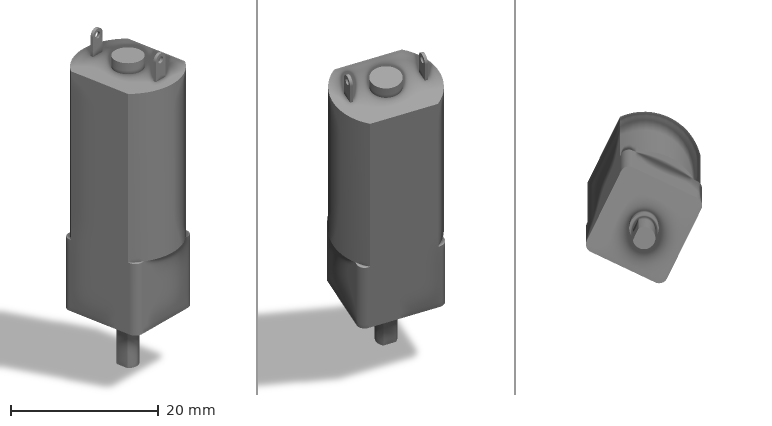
import cadquery as cq

overall_height = 49.6
shaft_length = 6.7
collar_height = 2.0
gearbox_height = 11.0
terminal_height = 3.95
boss_height = 1.7

gearbox_bottom = shaft_length + collar_height
motor_bottom = gearbox_bottom + gearbox_height
motor_top = overall_height - terminal_height
motor_height = motor_top - motor_bottom

motor_diameter = 15.7
body_depth = 12.05
gearbox_width = 13.0
gearbox_corner_radius = 1.2
boss_diameter = 4.5
collar_diameter = 4.0
shaft_diameter = 3.1
shaft_flat_offset = 1.25

terminal_spacing = 11.05
terminal_thickness = 0.45
terminal_width = 2.0
terminal_hole_diameter = 1.0
terminal_round_center = overall_height - terminal_width / 2


def cylinder(diameter, bottom, height):
    """Upright cylinder on the Z axis."""
    return cq.Workplane("XY").workplane(offset=bottom).circle(diameter / 2).extrude(height)


def make_terminal(x):
    """Thin upright lug with a full-round top and a wire hole."""
    half_width = terminal_width / 2
    return (
        cq.Workplane("YZ", origin=(x - terminal_thickness / 2, 0, 0))
        .moveTo(-half_width, motor_top)
        .lineTo(-half_width, terminal_round_center)
        .threePointArc((0, overall_height), (half_width, terminal_round_center))
        .lineTo(half_width, motor_top)
        .close()
        .moveTo(0, terminal_round_center)
        .circle(terminal_hole_diameter / 2)
        .extrude(terminal_thickness)
    )


def make_motor():
    """Round can with two flats, a rear boss and two terminals."""
    flats = (
        cq.Workplane("XY")
        .workplane(offset=motor_bottom)
        .rect(motor_diameter, body_depth)
        .extrude(motor_height)
    )
    body = cylinder(motor_diameter, motor_bottom, motor_height).intersect(flats)
    body = body.union(cylinder(boss_diameter, motor_top, boss_height))
    for side in (-1, 1):
        body = body.union(make_terminal(side * terminal_spacing / 2))
    return body


def make_gearbox():
    """Box with rounded upright edges and a bearing collar below it."""
    box = (
        cq.Workplane("XY")
        .workplane(offset=gearbox_bottom)
        .rect(gearbox_width, body_depth)
        .extrude(gearbox_height)
        .edges("|Z")
        .fillet(gearbox_corner_radius)
    )
    return box.union(cylinder(collar_diameter, shaft_length, collar_height))


def make_shaft():
    """Output shaft with a flat along its whole length, ending at the collar face."""
    flat_cut = (
        cq.Workplane("XY")
        .center(0, -shaft_flat_offset - shaft_diameter / 2)
        .rect(shaft_diameter, shaft_diameter)
        .extrude(shaft_length)
    )
    return cylinder(shaft_diameter, 0, shaft_length).cut(flat_cut)


motor = make_motor()
gearbox = make_gearbox()
shaft = make_shaft()

result = cq.Compound.makeCompound([motor.val(), gearbox.val(), shaft.val()])